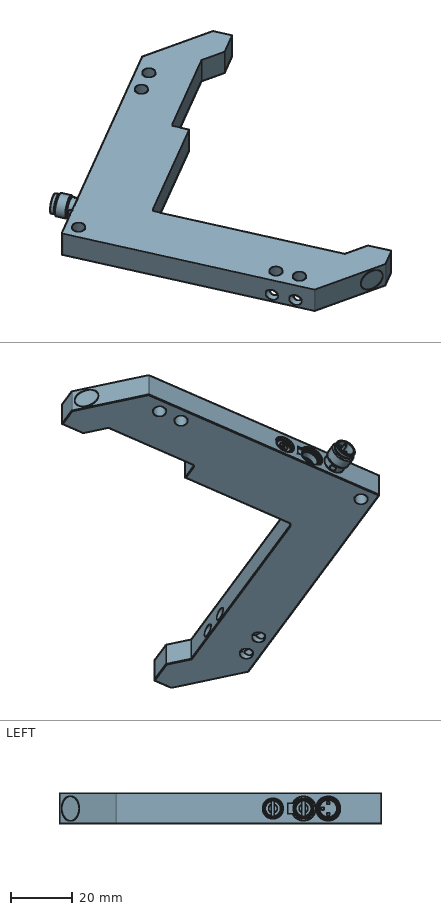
import cadquery as cq
import math

overall_length = 113.5
side = 105.0
thickness = 10.0
mid_z = thickness / 2
outer_cut = 18.4
leg_width = 19.0
tip_reach = 25.0
tip_length = 8.1
step_y = 58.8
inner_corner_radius = 1.0
step_corner_radius = 0.7
tip_corner_radius = 0.5
outer_corner_radius = 0.3
bottom_chamfer = 0.2

hole_diameter = 4.3
hole_inset = 4.4
hole_places = (72.0, 80.0)
side_hole_z = 3.3

lens_diameter = 8.1
lens_depth = 0.1
lens_from_tip = 3.5

trimmer_y = 35.4
switch_y = 25.4
well_diameter = 6.7
well_depth = 0.8
bezel_diameter = 8.0
bezel_depth = 0.6
bezel_notch_height = 3.4
bezel_notch_reach = 5.2
switch_well_depth = 1.2
switch_bore_depth = 3.4
dial_diameter = 5.7
dial_face_diameter = 5.0
dial_gap_depth = 0.2
hub_diameter = 2.8
hub_depth = 0.2
slot_width = 1.0
slot_length = 5.0
slot_depth = 1.0

plug_y = 17.4
plug_length = overall_length - side
flange_length = 2.6
flange_diameter = 7.2
flange_chamfer = 0.3
neck_length = 0.5
neck_diameter = 6.4
collar_length = 3.9
collar_diameter = 8.0
collar_chamfer = 0.5
groove_length = 0.2
groove_diameter = 6.6
nose_diameter = 6.9
nose_chamfer = 0.2
socket_diameter = 5.7
socket_depth = 4.5
pin_diameter = 1.0
pin_circle_radius = 1.8
pin_angles = (0, 90, 270)
pin_recess = 0.3
dimple_diameter = 2.0
dimple_depth = 0.5
dimple_x = 1.2
dimple_count = 3
dimple_first_angle = 45


def rod_x(diameter, start, end, y, z=mid_z):
    """Cylinder along X between two X positions."""
    return cq.Workplane("YZ", origin=(start, y, z)).circle(diameter / 2).extrude(end - start)


def make_body():
    """L-shaped plate with inward tips at the ends of both legs."""
    tip_start = side - tip_length
    slope = tip_reach - leg_width
    outline = [
        (0, 0),
        (side - outer_cut, 0),
        (side, outer_cut),
        (side, tip_reach),
        (tip_start, tip_reach),
        (tip_start - slope, leg_width),
        (tip_reach, leg_width),
        (tip_reach, step_y),
        (leg_width, step_y),
        (leg_width, tip_start - slope),
        (tip_reach, tip_start),
        (tip_reach, side),
        (outer_cut, side),
        (0, side - outer_cut),
    ]
    body = cq.Workplane("XY").polyline(outline).close().extrude(thickness)
    for corner, radius in (
        ((tip_reach, leg_width), inner_corner_radius),
        ((leg_width, step_y), step_corner_radius),
        ((side, tip_reach), tip_corner_radius),
        ((0, 0), outer_corner_radius),
        ((side - outer_cut, 0), outer_corner_radius),
        ((0, side - outer_cut), outer_corner_radius),
        ((side, outer_cut), outer_corner_radius),
        ((outer_cut, side), outer_corner_radius),
    ):
        edge = cq.selectors.NearestToPointSelector((*corner, mid_z))
        body = body.edges("|Z").edges(edge).fillet(radius)
    return body.faces("<Z").chamfer(bottom_chamfer)


def make_mounting_holes():
    """Holes through Z along both legs, and a pair through Y."""
    points = [(hole_inset, hole_inset)]
    for place in hole_places:
        points.append((place, hole_inset))
        points.append((hole_inset, place))
    holes = cq.Workplane("XY").pushPoints(points).circle(hole_diameter / 2).extrude(thickness)
    side_points = [(place, side_hole_z) for place in hole_places]
    side_holes = cq.Workplane("XZ").pushPoints(side_points).circle(hole_diameter / 2).extrude(-side)
    return holes.union(side_holes)


def make_lens_recesses():
    """Shallow discs sunk square into the 45 degree end faces."""
    far = side - lens_from_tip
    near = outer_cut - lens_from_tip
    recesses = cq.Workplane("XY")
    for x, y, inward in ((far, near, (-1, 1, 0)), (near, far, (1, -1, 0))):
        plane = cq.Plane(origin=(x, y, mid_z), xDir=(0, 0, 1), normal=inward)
        recesses = recesses.add(cq.Workplane(plane).circle(lens_diameter / 2).extrude(lens_depth))
    return recesses.combine()


def make_dial(y, depth):
    """Rim gap, hub recess and screwdriver slot of a dial whose face lies at the given depth."""
    gap = rod_x(dial_diameter, depth, depth + dial_gap_depth, y)
    gap = gap.cut(rod_x(dial_face_diameter, depth, depth + dial_gap_depth, y))
    hub = rod_x(hub_diameter, depth, depth + hub_depth, y)
    slot = cq.Workplane("XY").box(slot_depth, slot_width, slot_length, centered=(False, True, True))
    return gap.union(hub).union(slot.translate((depth, y, mid_z)))


def make_trimmer():
    """Round well with a dial at its bottom."""
    return rod_x(well_diameter, 0, well_depth, trimmer_y).union(make_dial(trimmer_y, well_depth))


def make_switch():
    """Stepped well with a notched bezel and a dial at the bottom of its bore."""
    notch = cq.Workplane("XY").box(
        bezel_depth, bezel_notch_reach, bezel_notch_height, centered=(False, False, True)
    )
    return (
        rod_x(bezel_diameter, 0, bezel_depth, switch_y)
        .union(notch.translate((0, switch_y, mid_z)))
        .union(rod_x(well_diameter, 0, switch_well_depth, switch_y))
        .union(rod_x(dial_diameter, 0, switch_bore_depth, switch_y))
        .union(make_dial(switch_y, switch_bore_depth))
    )


def make_plug():
    """Round connector along -X: turned outside, socket with pins, dimples around the flange."""
    neck_end = flange_length + neck_length
    collar_end = neck_end + collar_length
    groove_end = collar_end + groove_length
    profile = [
        (0, 0),
        (0, flange_diameter / 2 - flange_chamfer),
        (-flange_chamfer, flange_diameter / 2),
        (-flange_length, flange_diameter / 2),
        (-flange_length, neck_diameter / 2),
        (-neck_end, neck_diameter / 2),
        (-neck_end, collar_diameter / 2),
        (-collar_end + collar_chamfer, collar_diameter / 2),
        (-collar_end, nose_diameter / 2),
        (-collar_end, groove_diameter / 2),
        (-groove_end, groove_diameter / 2),
        (-groove_end, nose_diameter / 2),
        (-plug_length + nose_chamfer, nose_diameter / 2),
        (-plug_length, nose_diameter / 2 - nose_chamfer),
        (-plug_length, 0),
    ]
    plug = cq.Workplane("XY").polyline(profile).close().revolve(360, (0, 0, 0), (1, 0, 0))
    plug = plug.translate((0, plug_y, mid_z))
    plug = plug.cut(rod_x(socket_diameter, -plug_length, socket_depth - plug_length, plug_y))
    for angle in pin_angles:
        y = plug_y + pin_circle_radius * math.cos(math.radians(angle))
        z = mid_z + pin_circle_radius * math.sin(math.radians(angle))
        plug = plug.union(rod_x(pin_diameter, pin_recess - plug_length, socket_depth - plug_length, y, z))
    dimple = (
        cq.Workplane("XZ", origin=(-dimple_x, 0, 0))
        .workplane(offset=-flange_diameter / 2)
        .circle(dimple_diameter / 2)
        .extrude(dimple_depth)
    )
    for turn in range(dimple_count):
        angle = dimple_first_angle + 360 / dimple_count * turn
        turned = dimple.rotate((0, 0, 0), (1, 0, 0), angle)
        plug = plug.cut(turned.translate((0, plug_y, mid_z)))
    return plug


result = (
    make_body()
    .cut(make_mounting_holes())
    .cut(make_lens_recesses())
    .cut(make_trimmer())
    .cut(make_switch())
    .union(make_plug())
)